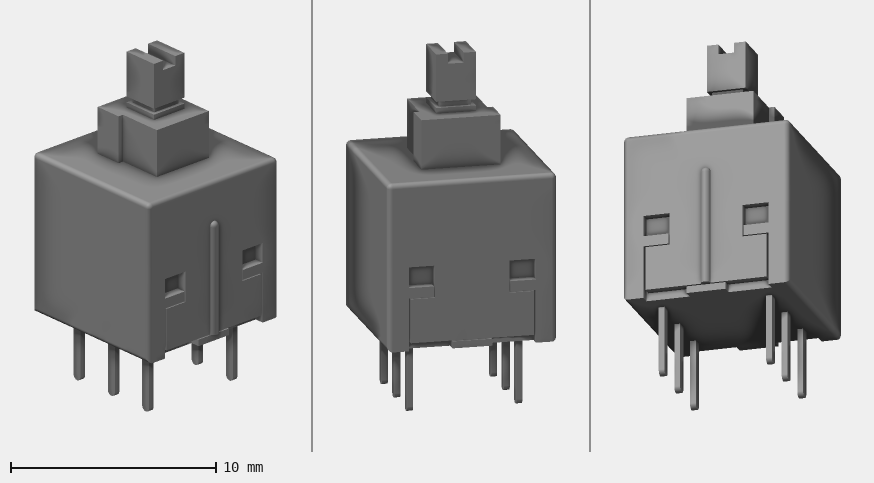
import cadquery as cq


BODY_SIDE = 8.5
BODY_HEIGHT = 8.5
SPLIT_Z = BODY_HEIGHT / 2
EDGE_RADIUS = 0.25
WALL = 0.5
CORE_SIDE = BODY_SIDE - 2 * WALL

RECESS_WIDTH = 6.4
TAB_WIDTH = 6.2
TAB_NECK_WIDTH = 3.75
TAB_BOTTOM_Z = 0.4
LATCH_GAP = 0.05
LUG_TOP_Z = 3.2
LUG_BOTTOM_Z = 2.68
TAB_ARM_TOP_Z = LUG_BOTTOM_Z - LATCH_GAP
LUG_SPACING = TAB_NECK_WIDTH + 2 * LATCH_GAP
LUG_LENGTH = (RECESS_WIDTH - LUG_SPACING) / 2
SUPPORT_WIDTH = 2.0
SUPPORT_HEIGHT = TAB_BOTTOM_Z - LATCH_GAP

RIB_RADIUS = 0.25
RIB_DOME_Z = 6.16

PIN_LENGTH = 3.5
PIN_WIDTH = 0.5
PIN_THICKNESS = 0.3
PIN_PITCH = 2.5
PIN_ROW_SPACING = 5.5
PINS_PER_ROW = 3

OVERALL_HEIGHT = 17.5
BLOCK_SIDE = 3.99
BLOCK_NARROW_WIDTH = 3.41
BLOCK_STEP_X = -0.47
BLOCK_HEIGHT = 2.5
STEM_SIDE = 2.0
COLLAR_HEIGHT = 0.28
NECK_SIDE = 1.6
NECK_HEIGHT = 0.32
HEAD_HEIGHT = (OVERALL_HEIGHT - PIN_LENGTH - BODY_HEIGHT
               - BLOCK_HEIGHT - COLLAR_HEIGHT - NECK_HEIGHT)
SLOT_WIDTH = 0.8
SLOT_DEPTH = 0.5

SIDES = (-1, 1)


def block(size_x, size_y, bottom_z, top_z, x=0, y=0):
    """Plain block centred on (x, y), between two heights."""
    return (
        cq.Workplane("XY", origin=(x, y, bottom_z))
        .rect(size_x, size_y)
        .extrude(top_z - bottom_z)
    )


def wall_block(side, width, bottom_z, top_z, y=0):
    """Block as thick as the wall, flush with the -X or +X face."""
    return block(WALL, width, bottom_z, top_z, side * (BODY_SIDE - WALL) / 2, y)


def pin(x, y):
    """Flat pin with a fully rounded tip."""
    tip_radius = PIN_WIDTH / 2
    tip_start = tip_radius - PIN_LENGTH
    return (
        cq.Workplane("XZ", origin=(x, y + PIN_THICKNESS / 2, 0))
        .moveTo(-tip_radius, 0)
        .lineTo(-tip_radius, tip_start)
        .threePointArc((0, -PIN_LENGTH), (tip_radius, tip_start))
        .lineTo(tip_radius, 0)
        .close()
        .extrude(PIN_THICKNESS)
    )


def latch_recess(side):
    """Space cut from the base for one tab, leaving two lugs and a centre support."""
    recess = wall_block(side, RECESS_WIDTH, 0, SPLIT_Z)
    lug_y = (RECESS_WIDTH - LUG_LENGTH) / 2
    for end in SIDES:
        recess = recess.cut(wall_block(side, LUG_LENGTH, LUG_BOTTOM_Z, LUG_TOP_Z, end * lug_y))
    return recess.cut(wall_block(side, SUPPORT_WIDTH, 0, SUPPORT_HEIGHT))


def make_base():
    """Lower half of the housing, with the core that fills the cover and six pins."""
    lower_half = block(BODY_SIDE, BODY_SIDE, 0, SPLIT_Z).edges("|Z").fillet(EDGE_RADIUS)
    rounded_underside = (
        block(BODY_SIDE, BODY_SIDE, 0, SPLIT_Z).edges("|X and <Z").fillet(EDGE_RADIUS)
    )
    base = lower_half.intersect(rounded_underside)
    for side in SIDES:
        base = base.cut(latch_recess(side))

    base = base.union(block(CORE_SIDE, CORE_SIDE, SPLIT_Z, BODY_HEIGHT))

    for row in SIDES:
        for column in range(PINS_PER_ROW):
            pin_x = (column - (PINS_PER_ROW - 1) / 2) * PIN_PITCH
            base = base.union(pin(pin_x, row * PIN_ROW_SPACING / 2))
    return base


def latch_tab(side):
    """T-shaped tab that hangs from the cover wall and hooks under the lugs."""
    neck = wall_block(side, TAB_NECK_WIDTH, TAB_BOTTOM_Z, SPLIT_Z)
    return neck.union(wall_block(side, TAB_WIDTH, TAB_BOTTOM_Z, TAB_ARM_TOP_Z))


def locating_rib():
    """Round bar half sunk in the +X face, with a domed top."""
    face_x = BODY_SIDE / 2
    bar = (
        cq.Workplane("XY", origin=(face_x, 0, TAB_BOTTOM_Z))
        .circle(RIB_RADIUS)
        .extrude(RIB_DOME_Z - TAB_BOTTOM_Z)
    )
    dome = cq.Workplane("XY", origin=(face_x, 0, RIB_DOME_Z)).sphere(RIB_RADIUS)
    return bar.union(dome)


def make_cover():
    """Rounded sleeve around the core, with a latch tab on each X side."""
    cover = (
        block(BODY_SIDE, BODY_SIDE, SPLIT_Z, BODY_HEIGHT)
        .edges("|Z or >Z")
        .fillet(EDGE_RADIUS)
        .cut(block(CORE_SIDE, CORE_SIDE, SPLIT_Z, BODY_HEIGHT))
    )
    for side in SIDES:
        cover = cover.union(latch_tab(side))
    return cover.union(locating_rib())


def make_plunger():
    """Stepped block that carries a collar, a neck and a slotted head."""
    block_top = BODY_HEIGHT + BLOCK_HEIGHT
    collar_top = block_top + COLLAR_HEIGHT
    neck_top = collar_top + NECK_HEIGHT
    head_top = neck_top + HEAD_HEIGHT

    wide_length = BLOCK_STEP_X + BLOCK_SIDE / 2
    wide_x = BLOCK_STEP_X - wide_length / 2
    plunger = block(BLOCK_SIDE, BLOCK_NARROW_WIDTH, BODY_HEIGHT, block_top)
    plunger = plunger.union(block(wide_length, BLOCK_SIDE, BODY_HEIGHT, block_top, wide_x))

    plunger = plunger.union(block(STEM_SIDE, STEM_SIDE, block_top, collar_top))
    plunger = plunger.union(block(NECK_SIDE, NECK_SIDE, collar_top, neck_top))
    plunger = plunger.union(block(STEM_SIDE, STEM_SIDE, neck_top, head_top))
    return plunger.cut(block(STEM_SIDE, SLOT_WIDTH, head_top - SLOT_DEPTH, head_top))


base = make_base()
cover = make_cover()
plunger = make_plunger()

bodies = [base, cover, plunger]
result = cq.Compound.makeCompound([body.solids().val() for body in bodies])